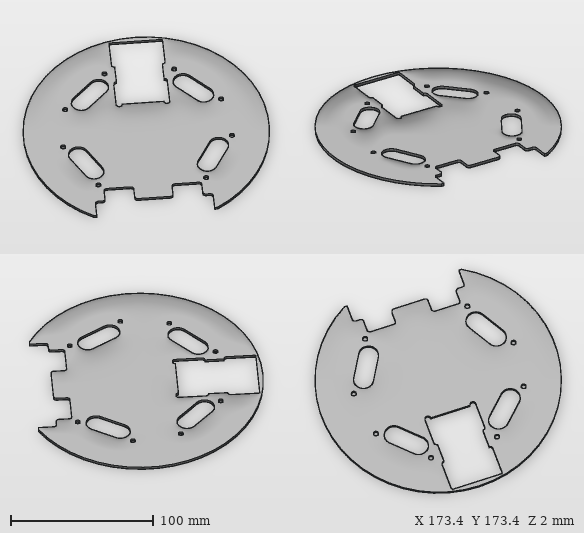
import cadquery as cq
import math

DIAGONAL_ANGLE = -45.0

DISC_RADIUS = 86.7
THICKNESS = 2.0
CORNER_RADIUS = 2.0
MARGIN = 1.7

TAIL_END = 75.0
TAB_END = 62.0
POCKET_FLOOR = 50.7
TAB_HALF_WIDTH = 13.5
POCKET_HALF_WIDTH = 34.5
NOTCH_HALF_WIDTH = 41.6

WINDOW_OUTER_END = -83.1
WINDOW_INNER_END = -26.0
WINDOW_HALF_WIDTH = 18.9
WINDOW_CORNER_RADIUS = 1.0
WAIST_START = -60.5
WAIST_END = -47.0
WAIST_STEP = 2.0
RELIEF_RADIUS = 2.0

SLOT_LENGTH = 33.0
SLOT_WIDTH = 14.0
SLOT_DISTANCE = 51.7
HOLE_DIAMETER = 3.5
HOLE_DISTANCE = 56.4
HOLE_SPACING = 43.0
SLOT_ANGLES = (60.0, 135.0, 225.0, 300.0)


def block(x_start, x_end, y_start, y_end):
    """Plate-thick rectangular block between the given limits."""
    return (
        cq.Workplane("XY")
        .box(x_end - x_start, y_end - y_start, THICKNESS, centered=False)
        .translate((x_start, y_start, 0))
    )


def make_notch():
    """Stepped notch: a wide opening with two deeper pockets beside a tab."""
    outside = DISC_RADIUS + CORNER_RADIUS
    notch = block(TAB_END, outside, -NOTCH_HALF_WIDTH, NOTCH_HALF_WIDTH)
    for y_start in (-POCKET_HALF_WIDTH, TAB_HALF_WIDTH):
        y_end = y_start + POCKET_HALF_WIDTH - TAB_HALF_WIDTH
        notch = notch.union(block(POCKET_FLOOR, outside, y_start, y_end))
    inner_corners = cq.selectors.BoxSelector(
        (POCKET_FLOOR - MARGIN, -DISC_RADIUS, -MARGIN),
        (TAB_END + MARGIN, DISC_RADIUS, THICKNESS + MARGIN),
    )
    notch = notch.edges("|Z").edges(inner_corners).fillet(CORNER_RADIUS)
    return notch.union(block(TAIL_END, outside, -DISC_RADIUS, DISC_RADIUS))


def make_waist_filler(side):
    """Material narrowing the window, with a hollow quarter round at each end."""
    narrow = side * (WINDOW_HALF_WIDTH - WAIST_STEP)
    wide = side * WINDOW_HALF_WIDTH
    bend = WAIST_STEP * (1 - math.sqrt(0.5))
    bend_y = narrow + side * WAIST_STEP * math.sqrt(0.5)
    return (
        cq.Workplane("XY")
        .moveTo(WAIST_START - WAIST_STEP, wide)
        .threePointArc((WAIST_START - bend, bend_y), (WAIST_START, narrow))
        .lineTo(WAIST_END, narrow)
        .threePointArc((WAIST_END + bend, bend_y), (WAIST_END + WAIST_STEP, wide))
        .close()
        .extrude(THICKNESS)
    )


def make_window():
    window = block(WINDOW_OUTER_END, WINDOW_INNER_END, -WINDOW_HALF_WIDTH, WINDOW_HALF_WIDTH)
    window = window.edges("|Z and <X").fillet(WINDOW_CORNER_RADIUS)
    for side in (-1, 1):
        relief_y = side * (WINDOW_HALF_WIDTH - RELIEF_RADIUS)
        relief = cq.Workplane("XY").center(WINDOW_INNER_END, relief_y).circle(RELIEF_RADIUS)
        window = window.union(relief.extrude(THICKNESS))
        window = window.cut(make_waist_filler(side))
    return window


def make_slot_group(angle):
    """Tangential slot and its two screw holes, at an angle from the diagonal."""
    slot = (
        cq.Workplane("XY")
        .center(SLOT_DISTANCE, 0)
        .slot2D(SLOT_LENGTH, SLOT_WIDTH, 90)
        .extrude(THICKNESS)
    )
    holes = (
        cq.Workplane("XY")
        .pushPoints([(HOLE_DISTANCE, side * HOLE_SPACING / 2) for side in (-1, 1)])
        .circle(HOLE_DIAMETER / 2)
        .extrude(THICKNESS)
    )
    return slot.add(holes).combine().rotate((0, 0, 0), (0, 0, 1), angle)


plate = cq.Workplane("XY").circle(DISC_RADIUS).extrude(THICKNESS)
plate = plate.cut(make_notch()).cut(make_window())
for slot_angle in SLOT_ANGLES:
    plate = plate.cut(make_slot_group(slot_angle))

result = plate.rotate((0, 0, 0), (0, 0, 1), DIAGONAL_ANGLE)